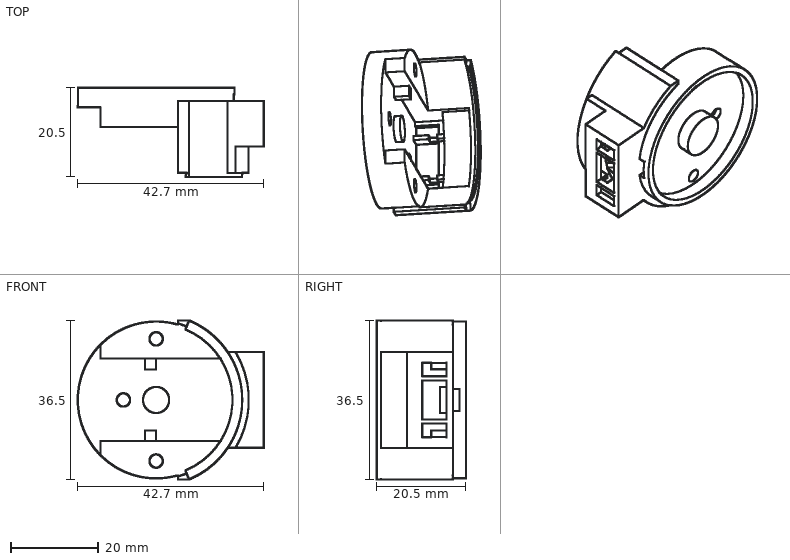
import cadquery as cq


disc_radius = 18.0
floor_depth = 4.5
disc_depth = 9.0
ledge_start_x = -12.8
channel_half_width = 9.45

recess_radius = 16.5
recess_depth = 3.0
post_radius = 5.0
notch_width = 5.0
notch_start_depth = 1.5

hole_diameter = 3.0
side_hole_z = 14.0
end_hole_x = -7.5
boss_diameter = 6.0
boss_top_depth = 6.0
block_length = 2.5
block_inner_z = 7.0
block_top_depth = 8.0

wall_inner_radius = disc_radius + 0.25
wall_thickness = 1.5
wall_outer_radius = wall_inner_radius + wall_thickness
wall_half_height = wall_inner_radius
wall_start_x = 5.0
wall_back_depth = 3.0
wall_front_depth = 19.5

lip_inner_radius = 17.5
lip_front_depth = 20.5
lip_half_angle = 67.5
lip_cone_depth = wall_front_depth + wall_inner_radius - lip_inner_radius

box_end_x = 24.7
box_half_height = 11.0
box_front_depth = 13.5
band_radius = wall_outer_radius + wall_thickness
groove_radius = wall_outer_radius
groove_front_depth = 18.5

pocket_end_x = box_end_x - wall_thickness
pocket_front_depth = 12.0
window_half_height = 8.5
window_front_depth = 10.0
plate_length = 3.5
plate_start_x = box_end_x - plate_length
plate_inner_z = 4.45
plate_thickness = 1.0
plate_slot_start_depth = 8.0
plate_slot_end_depth = window_front_depth


def box(x_min, x_max, z_min, z_max, depth_min, depth_max):
    """Rectangular block given by its X, Z and depth limits."""
    size = (x_max - x_min, depth_max - depth_min, z_max - z_min)
    return cq.Workplane("XY").box(*size, centered=False).translate((x_min, -depth_max, z_min))


def cylinder(radius, depth_min, depth_max, x=0, z=0):
    """Cylinder along Y between two depths."""
    plane = cq.Workplane("XZ", origin=(0, -depth_min, 0))
    return plane.center(x, z).circle(radius).extrude(depth_max - depth_min)


def make_wall():
    """Curved wall with flat top and bottom, box and band, bored in front of the disc."""
    wall = cylinder(wall_outer_radius, wall_back_depth, wall_front_depth).intersect(
        box(wall_start_x, wall_outer_radius, -wall_half_height, wall_half_height,
            wall_back_depth, wall_front_depth)
    )
    band = cylinder(band_radius, wall_back_depth, wall_front_depth).intersect(
        box(wall_start_x, band_radius, -box_half_height, box_half_height,
            wall_back_depth, wall_front_depth)
    )
    connector = box(wall_start_x, box_end_x, -box_half_height, box_half_height,
                    wall_back_depth, box_front_depth)
    bore = cylinder(wall_inner_radius, disc_depth, wall_front_depth)
    return wall.union(band).union(connector).cut(bore)


def make_lip():
    """Lip with a conical inner back edge, swept over the sector facing +X."""
    profile = [
        (wall_inner_radius, -wall_front_depth),
        (wall_outer_radius, -wall_front_depth),
        (wall_outer_radius, -lip_front_depth),
        (lip_inner_radius, -lip_front_depth),
        (lip_inner_radius, -lip_cone_depth),
    ]
    lip = cq.Workplane("XY").polyline(profile).close().revolve(2 * lip_half_angle, (0, 0), (0, 1))
    return lip.rotate((0, 0, 0), (0, 1, 0), -lip_half_angle)


def cut_channel(body):
    """Open the channel across the disc, the box pocket, the window and the wall groove."""
    end_clearance = box(-disc_radius, ledge_start_x, -disc_radius, disc_radius,
                        floor_depth, disc_depth)
    channel = box(-disc_radius, pocket_end_x, -channel_half_width, channel_half_width,
                  floor_depth, pocket_front_depth)
    window = box(pocket_end_x, box_end_x, -window_half_height, window_half_height,
                 floor_depth, window_front_depth)
    groove = cylinder(groove_radius, pocket_front_depth, groove_front_depth).intersect(
        box(0, groove_radius, -channel_half_width, channel_half_width,
            pocket_front_depth, groove_front_depth)
    )
    return body.cut(end_clearance).cut(channel).cut(window).cut(groove)


def cut_back(body):
    """Hollow the back face around the central post and notch the rim."""
    recess = cylinder(recess_radius, 0, recess_depth).cut(cylinder(post_radius, 0, recess_depth))
    notch = box(post_radius, disc_radius, -notch_width / 2, notch_width / 2,
                notch_start_depth, recess_depth)
    return body.cut(recess).cut(notch)


def add_floor_features(body):
    """Add the round boss, the two floor blocks and the two slotted guide plates."""
    body = body.union(cylinder(boss_diameter / 2, floor_depth, boss_top_depth))
    block = box(-block_length, 0, block_inner_z, channel_half_width, floor_depth, block_top_depth)
    plate_outer_z = plate_inner_z + plate_thickness
    plate = box(plate_start_x, box_end_x, plate_inner_z, plate_outer_z,
                floor_depth, pocket_front_depth)
    plate_slot = box(plate_start_x, pocket_end_x, plate_inner_z, plate_outer_z,
                     plate_slot_start_depth, plate_slot_end_depth)
    for feature in (block, plate.cut(plate_slot)):
        body = body.union(feature).union(feature.mirror("XY"))
    return body


def drill_holes(body):
    """Drill the three through holes in the disc."""
    for x, z in ((0, side_hole_z), (0, -side_hole_z), (end_hole_x, 0)):
        body = body.cut(cylinder(hole_diameter / 2, 0, disc_depth, x, z))
    return body


disc = cylinder(disc_radius, 0, disc_depth)
body = disc.union(make_wall())
body = cut_channel(body)
body = cut_back(body)
body = body.union(make_lip())
body = add_floor_features(body)
result = drill_holes(body)